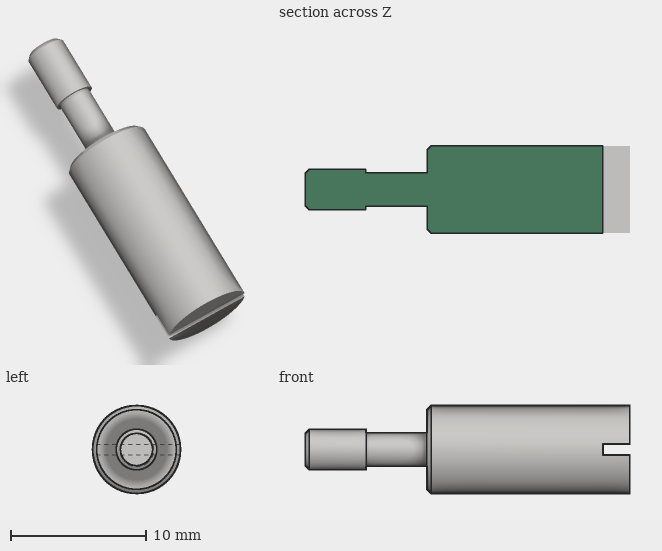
import cadquery as cq

total_length = 24.0
body_length = 15.0
body_diameter = 6.5
tip_length = 4.5
tip_diameter = 3.0
neck_diameter = 2.5
chamfer = 0.3

slot_width = 0.8
slot_depth = 2.0

body_start = total_length - body_length
neck_length = body_start - tip_length


def cylinder(start, length, diameter):
    """Solid cylinder along X, beginning at x = start."""
    return cq.Workplane("YZ", origin=(start, 0, 0)).circle(diameter / 2).extrude(length)


tip = cylinder(0, tip_length, tip_diameter).faces("<X").chamfer(chamfer)
neck = cylinder(tip_length, neck_length, neck_diameter)
body = cylinder(body_start, body_length, body_diameter).faces("<X").chamfer(chamfer)

slot = cq.Workplane("XY").box(
    slot_depth, body_diameter, slot_width, centered=(False, True, True)
).translate((total_length - slot_depth, 0, 0))

result = tip.union(neck).union(body).cut(slot)